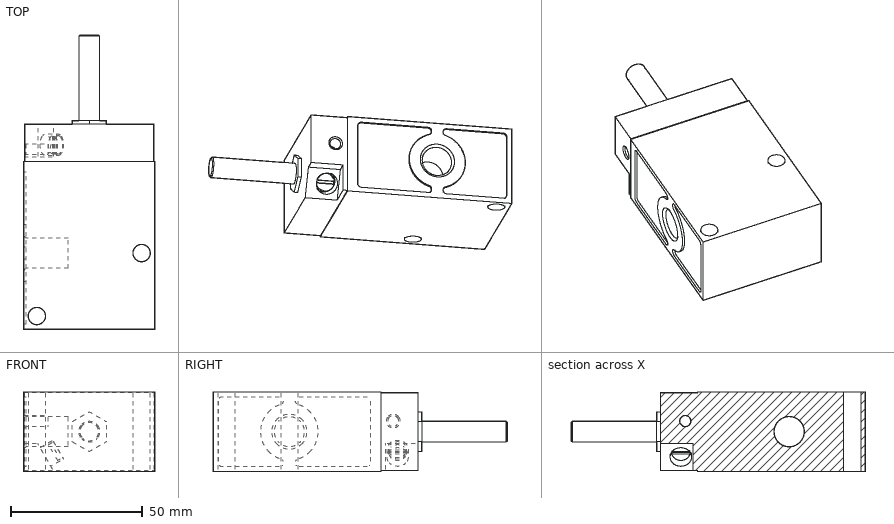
import cadquery as cq
import math

body_width = 50.0
body_length = 64.0
body_height = 30.4
side_x = -body_width / 2

cap_width = 49.3
cap_height = 29.7
cap_end = 78.1
cap_side_x = -cap_width / 2

nut_across_flats = 13.1
nut_end = 79.4
stem_diameter = 8.0
stem_end = 112.0
stem_chamfer = 0.5

mount_diameter = 6.5
mount_x = 19.9
mount_front_y = 5.0

port_y = 29.0
port_diameter = 11.4
port_mouth_diameter = 13.3
port_depth = 16.8

pocket_margin_front = 2.0
pocket_margin_rear = 4.0
pocket_height = 26.5
pocket_depth = 0.9
pocket_corner_radius = 1.3
web_width = 4.5
ring_diameter = 21.8

vent_y = 68.5
vent_z = 4.0
vent_diameter = 4.1
vent_mouth_diameter = 5.3
vent_depth = 9.0

slope_angle = 30.0
notch_top_z = -4.6
notch_ceiling_depth = 5.0
notch_start_y = 65.6
screw_y = 70.2
screw_z = -9.6
screw_bore_diameter = 8.2
screw_bore_depth = 5.6
screw_head_diameter = 7.0
screw_head_recess = 3.4
slot_width = 1.1
slot_depth = 1.1


def side_plane(x, y, z):
    """Plane facing into the part along +X, with local x along Y and local y along Z."""
    return cq.Plane(origin=(x, y, z), xDir=(0, 1, 0), normal=(1, 0, 0))


def chamfered_side_hole(x, y, z, diameter, mouth_diameter, depth):
    """Blind hole along +X with a 45 degree chamfer at its mouth."""
    chamfer = (mouth_diameter - diameter) / 2
    plane = side_plane(x, y, z)
    bore = cq.Workplane(plane).circle(diameter / 2).extrude(depth)
    mouth = cq.Workplane(plane).circle(mouth_diameter / 2).extrude(chamfer, taper=45)
    return bore.union(mouth)


def side_pocket(start_y, end_y):
    """Rounded rectangle trimmed by the ring that surrounds the port."""
    length = end_y - start_y
    blank = (
        cq.Workplane(side_plane(side_x, (start_y + end_y) / 2, 0))
        .rect(length, pocket_height)
        .extrude(pocket_depth)
    )
    ring = (
        cq.Workplane(side_plane(side_x, port_y, 0))
        .circle(ring_diameter / 2)
        .extrude(pocket_depth)
    )
    return blank.cut(ring).edges("|X").fillet(pocket_corner_radius)


def cap_notch():
    """Block with one sloping side that removes the lower -X corner of the cap."""
    drop = notch_top_z + cap_height / 2
    bottom_depth = notch_ceiling_depth + drop * math.tan(math.radians(slope_angle))
    plane = cq.Plane(origin=(cap_side_x, notch_start_y, notch_top_z), xDir=(1, 0, 0), normal=(0, 1, 0))
    return (
        cq.Workplane(plane)
        .polyline([(0, 0), (notch_ceiling_depth, 0), (bottom_depth, drop), (0, drop)])
        .close()
        .extrude(cap_end - notch_start_y)
    )


def screw_hollow():
    """Empty space of the screw bore, square to the sloping wall, around a slotted screw head."""
    angle = math.radians(slope_angle)
    inward = cq.Vector(math.cos(angle), 0, math.sin(angle))
    wall_x = cap_side_x + notch_ceiling_depth + (notch_top_z - screw_z) * math.tan(angle)
    plane = cq.Plane(origin=(wall_x, screw_y, screw_z), xDir=(0, 1, 0), normal=inward)
    head_plane = cq.Workplane(plane).workplane(offset=screw_head_recess)
    bore = cq.Workplane(plane).circle(screw_bore_diameter / 2).extrude(screw_bore_depth)
    head = head_plane.circle(screw_head_diameter / 2).extrude(screw_bore_depth - screw_head_recess)
    slot = head_plane.rect(screw_head_diameter, slot_width).extrude(slot_depth)
    return bore.cut(head.cut(slot))


body = cq.Workplane("XY").box(body_width, body_length, body_height, centered=(True, False, True))
cap = (
    cq.Workplane("XY")
    .box(cap_width, cap_end - body_length, cap_height, centered=(True, False, True))
    .translate((0, body_length, 0))
    .cut(cap_notch())
    .cut(screw_hollow())
    .cut(chamfered_side_hole(cap_side_x, vent_y, vent_z, vent_diameter, vent_mouth_diameter, vent_depth))
)
end_plane = cq.Plane(origin=(0, cap_end, 0), xDir=(1, 0, 0), normal=(0, 1, 0))
nut = cq.Workplane(end_plane).polygon(6, nut_across_flats, circumscribed=True).extrude(nut_end - cap_end)
stem = cq.Workplane(end_plane).circle(stem_diameter / 2).extrude(stem_end - cap_end)
stem = stem.faces(">Y").chamfer(stem_chamfer)

mount_holes = (
    cq.Workplane("XY")
    .pushPoints([(-mount_x, mount_front_y), (mount_x, port_y)])
    .circle(mount_diameter / 2)
    .extrude(body_height, both=True)
)

body = (
    body.cut(mount_holes)
    .cut(side_pocket(pocket_margin_front, port_y - web_width / 2))
    .cut(side_pocket(port_y + web_width / 2, body_length - pocket_margin_rear))
    .cut(chamfered_side_hole(side_x, port_y, 0, port_diameter, port_mouth_diameter, port_depth))
)

result = body.union(cap).union(nut).union(stem)